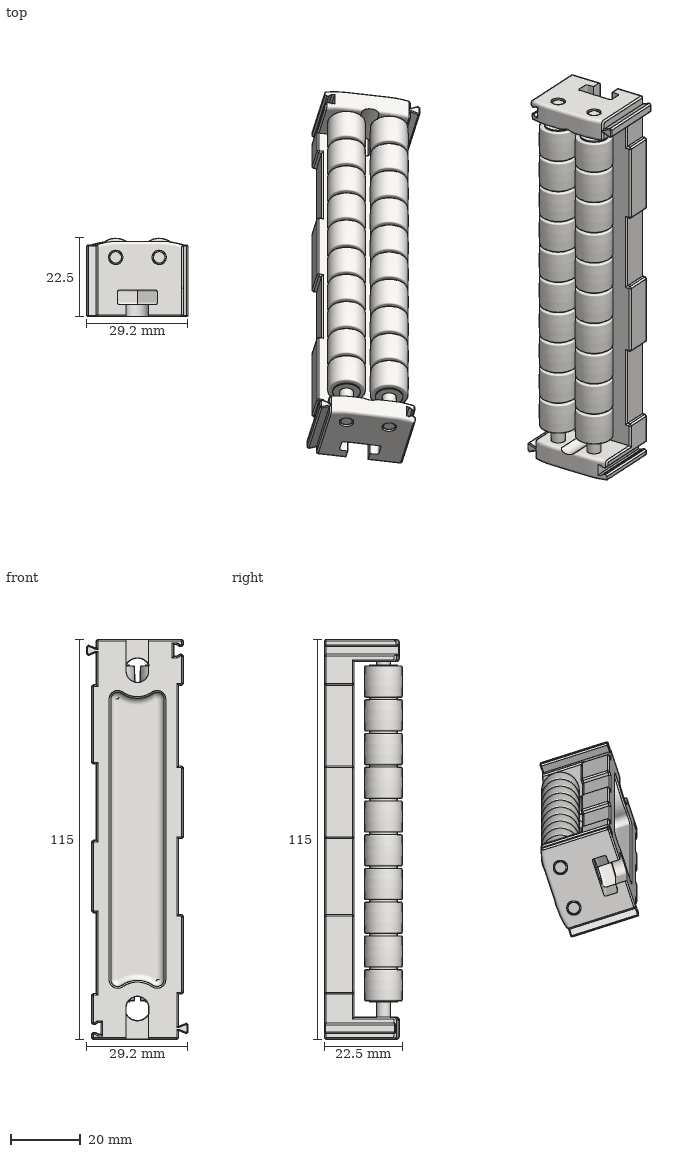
import cadquery as cq
import math

LENGTH = 115.0
HALF_LENGTH = LENGTH / 2
CAP_DEPTH = 21.6
CAP_THICKNESS = 6.4
SPINE_DEPTH = 8.6
EDGE_CHAMFER = 0.5

RAISED_X = 13.2
RECESSED_X = 11.87
RIGHT_STEPS_Z = [-44.5, -21.6, 0.2, 21.1, 44.3]

CROWN_FLAT = 12.6
CROWN_DROP = 1.0
CROWN_FILLET = 1.0
CROWN_OFFSET = (RAISED_X - RECESSED_X) / 2

GROOVE_Z = 54.35
GROOVE_FLOOR_X = 10.5
GROOVE_WIDE_X = 11.3
GROOVE_NECK_X = 12.2
GROOVE_HALF_WIDTH = 1.65
GROOVE_NECK_HALF_WIDTH = 1.1
TONGUE_TIP_X = 14.6
TONGUE_HEAD_X = 14.1
TONGUE_TIP_HALF_WIDTH = 1.0
TONGUE_HALF_WIDTH = 1.5
TONGUE_NECK_HALF_WIDTH = 0.6
TONGUE_DEPTH = CAP_DEPTH - CROWN_DROP - 0.1
TONGUE_CHAMFER = 0.3

BOLT_Z = 48.4
BOLT_SLOT_WIDTH = 6.5
BOLT_HOLE_DIAMETER = 7.4
NUT_WIDTH = 11.5
NUT_SLOT_NEAR_Y = 3.4
NUT_SLOT_FAR_Y = 7.6
NUT_SLOT_FILLET = 0.65

POCKET_DEPTH = 6.0
POCKET_RIM_CHAMFER = 0.5
POCKET_CORNER_RADIUS = 2.0
POCKET_FLOOR_FILLET = 1.95
POCKET_FLOOR_HALF_WIDTH = 5.65
POCKET_FLOOR_CORNER_Z = 40.3

SHAFT_X = 6.25
SHAFT_Y = 17.0
SHAFT_DIAMETER = 4.1
SHAFT_RECESS = 0.3
SHAFT_CHAMFER = 0.4
ROLLER_COUNT = 10
ROLLER_DIAMETER = 11.0
ROLLER_END_DIAMETER = 10.8
ROLLER_LENGTH = 9.0
ROLLER_BAND = 2.8
ROLLER_FILLET = 0.4
HUB_DIAMETER = 8.0
ROLLER_PITCH = 9.7
STACK_TOP_Z = 50.2


def face_near(body, y, z):
    """The flat face of the body whose middle lies closest to the given Y and Z."""
    return body.faces(cq.selectors.NearestToPointSelector((0, y, z)))


def half_turn(body):
    """The same body turned half a turn about the Y axis, to serve the other end."""
    return body.rotate((0, 0, 0), (0, 1, 0), 180)


def right_side_points():
    """Right-hand edge of the outline from bottom to top, ending in the snap groove."""
    x = RECESSED_X
    points = [(x, -HALF_LENGTH)]
    for z in RIGHT_STEPS_Z:
        points.append((x, z))
        x = RAISED_X if x == RECESSED_X else RECESSED_X
        points.append((x, z))
    groove = [
        (RAISED_X, GROOVE_NECK_HALF_WIDTH),
        (GROOVE_NECK_X, GROOVE_NECK_HALF_WIDTH),
        (GROOVE_WIDE_X, GROOVE_HALF_WIDTH),
        (GROOVE_FLOOR_X, GROOVE_HALF_WIDTH),
    ]
    points += [(gx, GROOVE_Z - half) for gx, half in groove]
    points += [(gx, GROOVE_Z + half) for gx, half in reversed(groove)]
    points.append((RAISED_X, HALF_LENGTH))
    return points


def make_outline_block():
    """Stepped outline through the full depth, with the raised corners chamfered."""
    right = right_side_points()
    left = [(-x, -z) for x, z in right]
    block = cq.Workplane("XZ").polyline(right + left).close().extrude(-CAP_DEPTH)
    for side in (-1, 1):
        near, far = sorted((side * (GROOVE_NECK_X + RAISED_X) / 2, side * 2 * RAISED_X))
        raised = cq.selectors.BoxSelector((near, -1, -LENGTH), (far, LENGTH, LENGTH))
        block = block.edges("|Y").edges(raised).chamfer(EDGE_CHAMFER)
    return block


def make_top_cap_envelope():
    """End cap with a flat front that falls away along a tangent arc on each side."""
    half_width = (RAISED_X + RECESSED_X) / 2
    run = half_width - CROWN_FLAT / 2
    radius = (run**2 + CROWN_DROP**2) / (2 * CROWN_DROP)
    half_angle = math.asin(run / radius) / 2
    mid_x = CROWN_FLAT / 2 + radius * math.sin(half_angle)
    mid_y = CAP_DEPTH - radius * (1 - math.cos(half_angle))
    side_y = CAP_DEPTH - CROWN_DROP
    cap = (
        cq.Workplane("XY", origin=(CROWN_OFFSET, 0, HALF_LENGTH - CAP_THICKNESS))
        .moveTo(-half_width, 0)
        .lineTo(half_width, 0)
        .lineTo(half_width, side_y)
        .threePointArc((mid_x, mid_y), (CROWN_FLAT / 2, CAP_DEPTH))
        .lineTo(-CROWN_FLAT / 2, CAP_DEPTH)
        .threePointArc((-mid_x, mid_y), (-half_width, side_y))
        .close()
        .extrude(CAP_THICKNESS)
    )
    front = cq.selectors.BoxSelector(
        (-RAISED_X * 2, side_y - CROWN_DROP / 2, 0),
        (RAISED_X * 2, CAP_DEPTH + CROWN_DROP, LENGTH),
    )
    return cap.edges("not |Z").edges(front).fillet(CROWN_FILLET)


def make_spine_envelope():
    spine = cq.Workplane("XY").box(2 * RAISED_X, SPINE_DEPTH, LENGTH)
    return spine.translate((0, SPINE_DEPTH / 2, 0))


def make_top_tongue():
    """Dovetail tongue standing out from the left of the top cap."""
    root_x = RECESSED_X - 2 * EDGE_CHAMFER
    upper = [
        (root_x, TONGUE_NECK_HALF_WIDTH),
        (RECESSED_X, TONGUE_NECK_HALF_WIDTH),
        (TONGUE_HEAD_X, TONGUE_HALF_WIDTH),
        (TONGUE_TIP_X, TONGUE_TIP_HALF_WIDTH),
    ]
    points = [(-x, GROOVE_Z + half) for x, half in upper]
    points += [(-x, GROOVE_Z - half) for x, half in reversed(upper)]
    tongue = cq.Workplane("XZ").polyline(points).close().extrude(-TONGUE_DEPTH)
    return tongue.faces("<Y or >Y").edges().chamfer(TONGUE_CHAMFER)


def make_top_bolt_slot():
    """Keyhole for a bolt: narrow slot, hexagon-ended nut slot behind it, and a hole through."""
    to_end = HALF_LENGTH - BOLT_Z
    nut_depth = NUT_SLOT_FAR_Y - NUT_SLOT_NEAR_Y
    bolt = cq.Workplane("XZ", origin=(0, 0, BOLT_Z))
    slot = bolt.circle(BOLT_SLOT_WIDTH / 2).extrude(-NUT_SLOT_FAR_Y)
    slot = slot.union(
        bolt.center(0, to_end / 2).rect(BOLT_SLOT_WIDTH, to_end).extrude(-NUT_SLOT_FAR_Y)
    )
    hole = cq.Workplane("XZ", origin=(0, NUT_SLOT_NEAR_Y, BOLT_Z))
    hole = hole.circle(BOLT_HOLE_DIAMETER / 2).extrude(-CAP_DEPTH)

    half = NUT_WIDTH / 2
    corner = half * math.tan(math.pi / 6)
    nut = (
        cq.Workplane("XZ", origin=(0, NUT_SLOT_NEAR_Y, BOLT_Z))
        .polyline([(-half, to_end), (-half, -corner), (0, -2 * corner), (half, -corner), (half, to_end)])
        .close()
        .extrude(-nut_depth)
    )
    nut = nut.faces("<Y or >Y").edges("not >Z").fillet(NUT_SLOT_FILLET)
    return slot.union(hole).union(nut)


def pocket_outline(margin):
    """Outline of the flat pocket floor, widened all round by a margin with rounded corners."""
    w = POCKET_FLOOR_HALF_WIDTH
    z = POCKET_FLOOR_CORNER_Z
    bow_z = BOLT_Z - math.hypot(w, BOLT_Z - z)
    floor = (
        cq.Workplane("XZ")
        .moveTo(-w, -z)
        .threePointArc((0, -bow_z), (w, -z))
        .lineTo(w, z)
        .threePointArc((0, bow_z), (-w, z))
        .close()
    )
    return floor.offset2D(margin)


def make_pocket():
    """Long coved pocket with a chamfered rim, its ends bowed inwards around the bolt holes."""
    pocket = pocket_outline(POCKET_CORNER_RADIUS).extrude(-POCKET_DEPTH)
    pocket = pocket.faces(">Y").edges().fillet(POCKET_FLOOR_FILLET)
    rim = pocket_outline(POCKET_CORNER_RADIUS + POCKET_RIM_CHAMFER)
    return pocket.union(rim.extrude(-POCKET_RIM_CHAMFER, taper=45))


def shaft_positions():
    return [(-SHAFT_X, SHAFT_Y), (SHAFT_X, SHAFT_Y)]


def chamfer_roller_bay(body):
    """Chamfer the side edges of the open bay: along the spine, then along both caps."""
    inner_z = HALF_LENGTH - CAP_THICKNESS
    spine_back = face_near(body, SPINE_DEPTH, 0)
    ends = cq.selectors.InverseSelector(cq.selectors.StringSyntaxSelector("#Z and (>Z or <Z)"))
    body = spine_back.edges(ends).chamfer(EDGE_CHAMFER)
    for z in (-inner_z, inner_z):
        cap_inside = face_near(body, (SPINE_DEPTH + CAP_DEPTH) / 2, z)
        body = cap_inside.edges("|Y").chamfer(EDGE_CHAMFER)
    return body


def make_housing():
    cap = make_top_cap_envelope()
    envelope = make_spine_envelope().union(cap).union(half_turn(cap))
    body = make_outline_block().intersect(envelope)
    body = body.faces("<Y").edges().chamfer(EDGE_CHAMFER)
    body = chamfer_roller_bay(body)
    tongue = make_top_tongue()
    bolt_slot = make_top_bolt_slot()
    body = body.union(tongue).union(half_turn(tongue))
    body = body.cut(bolt_slot).cut(half_turn(bolt_slot)).cut(make_pocket())
    holes = cq.Workplane("XY", origin=(0, 0, -HALF_LENGTH)).pushPoints(shaft_positions())
    return body.cut(holes.circle(SHAFT_DIAMETER / 2).extrude(LENGTH))


def make_roller():
    """Roller with slightly tapered ends, standing on Z = 0 with its hub showing at both ends."""
    hub_r = HUB_DIAMETER / 2
    roller_r = ROLLER_DIAMETER / 2
    end_r = ROLLER_END_DIAMETER / 2
    mid = ROLLER_PITCH / 2
    tread = (
        cq.Workplane("XZ")
        .polyline([
            (0, mid - ROLLER_LENGTH / 2),
            (end_r, mid - ROLLER_LENGTH / 2),
            (roller_r, mid - ROLLER_BAND / 2),
            (roller_r, mid + ROLLER_BAND / 2),
            (end_r, mid + ROLLER_LENGTH / 2),
            (0, mid + ROLLER_LENGTH / 2),
        ])
        .close()
        .revolve(360, (0, 0), (0, 1))
    )
    tread = tread.faces("<Z or >Z").edges().fillet(ROLLER_FILLET)
    return tread.union(cq.Workplane("XY").circle(hub_r).extrude(ROLLER_PITCH))


def make_roller_shaft(x, y):
    """Shaft held in both end caps, carrying a stack of rollers."""
    half_length = HALF_LENGTH - SHAFT_RECESS
    shaft = cq.Workplane("XY").circle(SHAFT_DIAMETER / 2).extrude(half_length, both=True)
    shaft = shaft.faces("<Z or >Z").edges().chamfer(SHAFT_CHAMFER)
    roller = make_roller()
    for i in range(ROLLER_COUNT):
        shaft = shaft.union(roller.translate((0, 0, STACK_TOP_Z - (i + 1) * ROLLER_PITCH)))
    return shaft.translate((x, y, 0))


housing = make_housing()
roller_shafts = [make_roller_shaft(x, y) for x, y in shaft_positions()]

result = cq.Compound.makeCompound([housing.val(), *[shaft.val() for shaft in roller_shafts]])